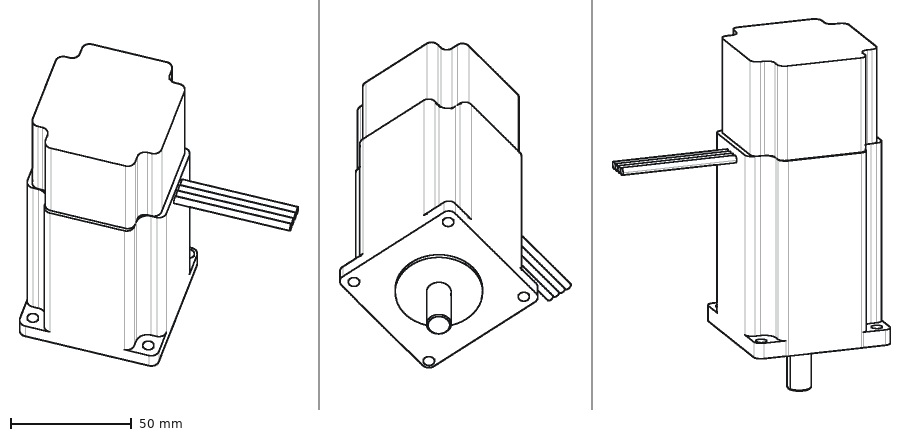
import cadquery as cq

top_z = 125.7
body_top_z = 84.8
flange_height = 6.8
pilot_height = 1.8
shaft_end_z = -24.3

flange_side = 60.3
corner_radius = 3.3
hole_diameter = 4.6
hole_offset = 25.0
shifted_hole_offset = 26.7

body_size_x = flange_side
body_size_y = 60.5
body_shift_y = (body_size_y - flange_side) / 2
body_notch_radius = 5.0
cap_size_x = 56.0
cap_size_y = 58.2
cap_shift_y = 0.3
cap_notch_radius = corner_radius
arm_width = 39.0

pilot_diameter = 36.3
shaft_diameter = 10.2
shaft_chamfer = 0.6
flat_x = 4.6
flat_top_z = -4.0

wire_count = 4
wire_diameter = 3.2
wire_overlap = 0.03
wire_pitch = wire_diameter - wire_overlap
wire_length = 50.2
wire_row_y = 0.5
wire_z = 79.8
wire_embed = 3.0


def cross_prism(size_x, size_y, shift_y, notch_radius, bottom_z, height):
    """Rectangle with a rounded notch in each corner, extruded upward."""
    def bar(length_x, length_y):
        return (
            cq.Workplane("XY", origin=(0, shift_y, bottom_z))
            .rect(length_x, length_y)
            .extrude(height)
            .edges("|Z")
            .fillet(corner_radius)
        )

    cross = bar(size_x, arm_width).union(bar(arm_width, size_y))
    half_arm = arm_width / 2
    margin = 0.2
    inner_corners = cross.edges(
        cq.selectors.BoxSelector(
            (-half_arm - margin, shift_y - half_arm - margin, bottom_z),
            (half_arm + margin, shift_y + half_arm + margin, bottom_z + height),
        )
    ).edges("|Z")
    return inner_corners.fillet(notch_radius)


def make_flange():
    hole_centers = [
        (-hole_offset, -hole_offset),
        (-hole_offset, hole_offset),
        (hole_offset, -hole_offset),
        (shifted_hole_offset, shifted_hole_offset),
    ]
    plate = (
        cq.Workplane("XY")
        .rect(flange_side, flange_side)
        .extrude(flange_height)
        .edges("|Z")
        .fillet(corner_radius)
    )
    holes = (
        cq.Workplane("XY")
        .pushPoints(hole_centers)
        .circle(hole_diameter / 2)
        .extrude(flange_height)
    )
    return plate.cut(holes)


def make_shaft():
    shaft = (
        cq.Workplane("XY", origin=(0, 0, shaft_end_z))
        .circle(shaft_diameter / 2)
        .extrude(-shaft_end_z)
        .faces("<Z")
        .chamfer(shaft_chamfer)
    )
    flat_cut = (
        cq.Workplane("XY", origin=(flat_x, 0, shaft_end_z))
        .box(shaft_diameter, shaft_diameter, flat_top_z - shaft_end_z, centered=(False, True, False))
    )
    return shaft.cut(flat_cut)


def make_wire(index):
    y = wire_row_y + (index - (wire_count - 1) / 2) * wire_pitch
    return (
        cq.Workplane("YZ", origin=(body_size_x / 2 - wire_embed, y, wire_z))
        .circle(wire_diameter / 2)
        .extrude(wire_length + wire_embed)
    )


body = cross_prism(
    body_size_x, body_size_y, body_shift_y, body_notch_radius, 0, body_top_z
)
cap = cross_prism(
    cap_size_x, cap_size_y, cap_shift_y, cap_notch_radius, body_top_z, top_z - body_top_z
)
pilot = cq.Workplane("XY").circle(pilot_diameter / 2).extrude(-pilot_height)

result = make_flange().union(body).union(cap).union(pilot).union(make_shaft())
for wire_index in range(wire_count):
    result = result.union(make_wire(wire_index))